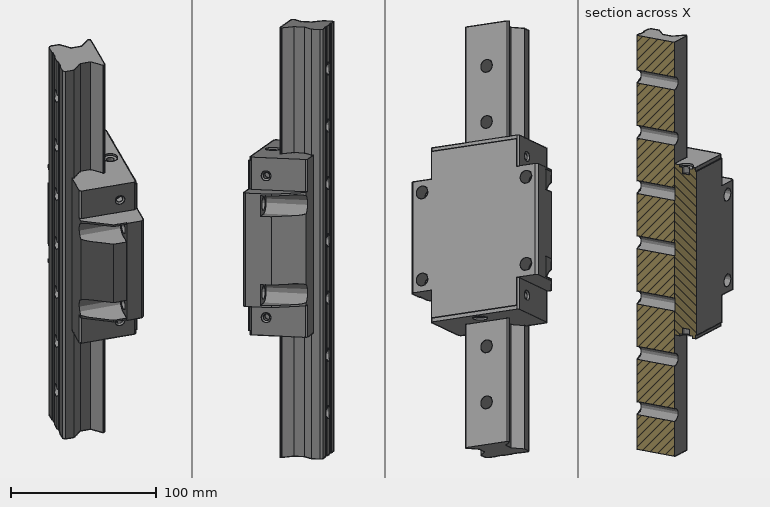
import cadquery as cq


RAIL_LENGTH = 300.0
RAIL_HALF_WIDTH = 17.0
RAIL_HEIGHT = 30.3
RAIL_WAIST_HALF_WIDTH = 10.5
RAIL_FLARE = RAIL_HALF_WIDTH - RAIL_WAIST_HALF_WIDTH
RAIL_FOOT_HEIGHT = 7.8
RAIL_HEAD_BOTTOM = 28.5
RAIL_FOOT_CHAMFER = 1.5
RAIL_HEAD_CHAMFER = 1.0

RELIEF_OUTER = 8.7
RELIEF_INNER = 4.0
RELIEF_DEPTH = 0.5

RAIL_HOLE_DIAMETER = 9.0
RAIL_HOLE_PITCH = RAIL_LENGTH * 2 / 15
RAIL_HOLE_COUNT = 7

CARRIAGE_BOTTOM = 6.3
CARRIAGE_TOP = 48.0
CORE_HALF_WIDTH = 34.8
CORE_LENGTH = 124.2
CORE_TOP = 47.0
CORE_CHAMFER = 1.2

PAD_HALF_WIDTH = CORE_HALF_WIDTH - CORE_CHAMFER
PAD_LENGTH = 118.8

FLANGE_WIDTH = 100.0
FLANGE_HALF_WIDTH = FLANGE_WIDTH / 2
FLANGE_LENGTH = 79.2
FLANGE_FOOT_HALF_WIDTH = 37.5
FLANGE_SLOPE_TOP = 28.0
FLANGE_CHAMFER = 1.8
EDGE_STEP_HEIGHT = 35.7
EDGE_STEP_DEPTH = 1.0

BOLT_SPACING_X = 82.0
BOLT_SPACING_Z = 62.0
BOLT_HOLE_DIAMETER = 9.0
SPOTFACE_DIAMETER = 14.5
SPOTFACE_HEIGHT = 35.7

SIDE_PORT_HEIGHT = 35.5
SIDE_PORT_Z = 49.5
SIDE_PORT_DIAMETER = 4.5
SIDE_PORT_MOUTH_DIAMETER = 7.0
SIDE_PORT_DEPTH = 6.0

END_PORT_HEIGHT = 39.3
END_PORT_DIAMETER = 5.0
END_PORT_DEPTH = 6.0
END_PORT_BORE_DIAMETER = 10.2
END_PORT_BORE_DEPTH = 1.5


def prism(points, length):
    """Extrude an XY outline along Z, centred on Z = 0."""
    return cq.Workplane("XY").polyline(points).close().extrude(length / 2, both=True)


def mirrored(right_side):
    """Close a right-hand outline, listed from bottom to top, with its mirror image in X."""
    return right_side + [(-x, y) for x, y in reversed(right_side)]


def y_cylinder(diameter, x, z, bottom, top):
    """Cylinder parallel to Y between two heights."""
    return cq.Workplane("XZ", origin=(x, bottom, z)).circle(diameter / 2).extrude(bottom - top)


def rail_profile(length):
    """Rail section without grooves or holes; also shapes the channel of the carriage."""
    right_side = [
        (RAIL_HALF_WIDTH - RAIL_FOOT_CHAMFER, 0),
        (RAIL_HALF_WIDTH, RAIL_FOOT_CHAMFER),
        (RAIL_HALF_WIDTH, RAIL_FOOT_HEIGHT),
        (RAIL_WAIST_HALF_WIDTH, RAIL_FOOT_HEIGHT + RAIL_FLARE),
        (RAIL_WAIST_HALF_WIDTH, RAIL_HEAD_BOTTOM - RAIL_FLARE),
        (RAIL_HALF_WIDTH, RAIL_HEAD_BOTTOM),
        (RAIL_HALF_WIDTH, RAIL_HEIGHT - RAIL_HEAD_CHAMFER),
        (RAIL_HALF_WIDTH - RAIL_HEAD_CHAMFER, RAIL_HEIGHT),
    ]
    return prism(mirrored(right_side), length)


def make_rail():
    rail = rail_profile(RAIL_LENGTH)
    for side in (-1, 1):
        groove = [
            (side * RELIEF_OUTER, 0),
            (side * RELIEF_OUTER, RELIEF_DEPTH),
            (side * RELIEF_INNER, RELIEF_DEPTH),
            (side * (RELIEF_INNER - RELIEF_DEPTH), 0),
        ]
        rail = rail.cut(prism(groove, RAIL_LENGTH))
    for i in range(RAIL_HOLE_COUNT):
        z = (i - (RAIL_HOLE_COUNT - 1) / 2) * RAIL_HOLE_PITCH
        rail = rail.cut(y_cylinder(RAIL_HOLE_DIAMETER, 0, z, 0, RAIL_HEIGHT))
    return rail


def carriage_core():
    """Long central block with a slightly raised mounting pad."""
    height = CORE_TOP - CARRIAGE_BOTTOM
    core = cq.Workplane("XY").box(2 * CORE_HALF_WIDTH, height, CORE_LENGTH)
    core = core.edges("|Z").chamfer(CORE_CHAMFER).translate((0, CARRIAGE_BOTTOM + height / 2, 0))
    pad_height = CARRIAGE_TOP - CORE_TOP
    pad = cq.Workplane("XY").box(2 * PAD_HALF_WIDTH, pad_height, PAD_LENGTH)
    return core.union(pad.translate((0, CORE_TOP + pad_height / 2, 0)))


def carriage_flange():
    """Wide, shorter block with sloped flanks; the +X side is stepped below its upper band."""
    slope = (FLANGE_SLOPE_TOP - CARRIAGE_BOTTOM) / (FLANGE_HALF_WIDTH - FLANGE_FOOT_HALF_WIDTH)
    set_back_x = FLANGE_HALF_WIDTH - EDGE_STEP_DEPTH
    outline = [
        (-FLANGE_FOOT_HALF_WIDTH, CARRIAGE_BOTTOM),
        (FLANGE_FOOT_HALF_WIDTH, CARRIAGE_BOTTOM),
        (set_back_x, FLANGE_SLOPE_TOP - slope * EDGE_STEP_DEPTH),
        (set_back_x, EDGE_STEP_HEIGHT),
        (FLANGE_HALF_WIDTH, EDGE_STEP_HEIGHT),
        (FLANGE_HALF_WIDTH, CARRIAGE_TOP - FLANGE_CHAMFER),
        (FLANGE_HALF_WIDTH - FLANGE_CHAMFER, CARRIAGE_TOP),
        (FLANGE_CHAMFER - FLANGE_HALF_WIDTH, CARRIAGE_TOP),
        (-FLANGE_HALF_WIDTH, CARRIAGE_TOP - FLANGE_CHAMFER),
        (-FLANGE_HALF_WIDTH, FLANGE_SLOPE_TOP),
    ]
    return prism(outline, FLANGE_LENGTH)


def bolt_cutter(side, z):
    """Through hole with a round-ended spotface that is open towards the flange side."""
    x = side * BOLT_SPACING_X / 2
    hole = y_cylinder(BOLT_HOLE_DIAMETER, x, z, CARRIAGE_BOTTOM, CARRIAGE_TOP)
    round_end = y_cylinder(SPOTFACE_DIAMETER, x, z, CARRIAGE_BOTTOM, SPOTFACE_HEIGHT)
    reach = FLANGE_WIDTH - BOLT_SPACING_X
    depth = SPOTFACE_HEIGHT - CARRIAGE_BOTTOM
    opening = cq.Workplane("XY").box(reach, depth, SPOTFACE_DIAMETER)
    opening = opening.translate((x + side * reach / 2, CARRIAGE_BOTTOM + depth / 2, z))
    return hole.union(round_end).union(opening)


def side_port_cutter(side, z):
    """Small countersunk blind hole in a side of the core."""
    mouth = cq.Workplane("YZ", origin=(side * CORE_HALF_WIDTH, SIDE_PORT_HEIGHT, z))
    hole = mouth.circle(SIDE_PORT_DIAMETER / 2).extrude(-side * SIDE_PORT_DEPTH)
    sink_depth = (SIDE_PORT_MOUTH_DIAMETER - SIDE_PORT_DIAMETER) / 2
    sink = mouth.circle(SIDE_PORT_MOUTH_DIAMETER / 2).extrude(-side * sink_depth, taper=45)
    return hole.union(sink)


def end_port_cutter(end):
    """Counterbored blind hole in an end face of the core."""
    face = cq.Workplane("XY", origin=(0, END_PORT_HEIGHT, end * CORE_LENGTH / 2))
    bore = face.circle(END_PORT_BORE_DIAMETER / 2).extrude(-end * END_PORT_BORE_DEPTH)
    hole = face.circle(END_PORT_DIAMETER / 2).extrude(-end * END_PORT_DEPTH)
    return bore.union(hole)


def make_carriage():
    carriage = carriage_core().union(carriage_flange())
    for side in (-1, 1):
        for end in (-1, 1):
            carriage = carriage.cut(bolt_cutter(side, end * BOLT_SPACING_Z / 2))
            carriage = carriage.cut(side_port_cutter(side, end * SIDE_PORT_Z))
    for end in (-1, 1):
        carriage = carriage.cut(end_port_cutter(end))
    return carriage.cut(rail_profile(RAIL_LENGTH))


rail = make_rail()
carriage = make_carriage()

result = cq.Compound.makeCompound([rail.val(), carriage.val()])